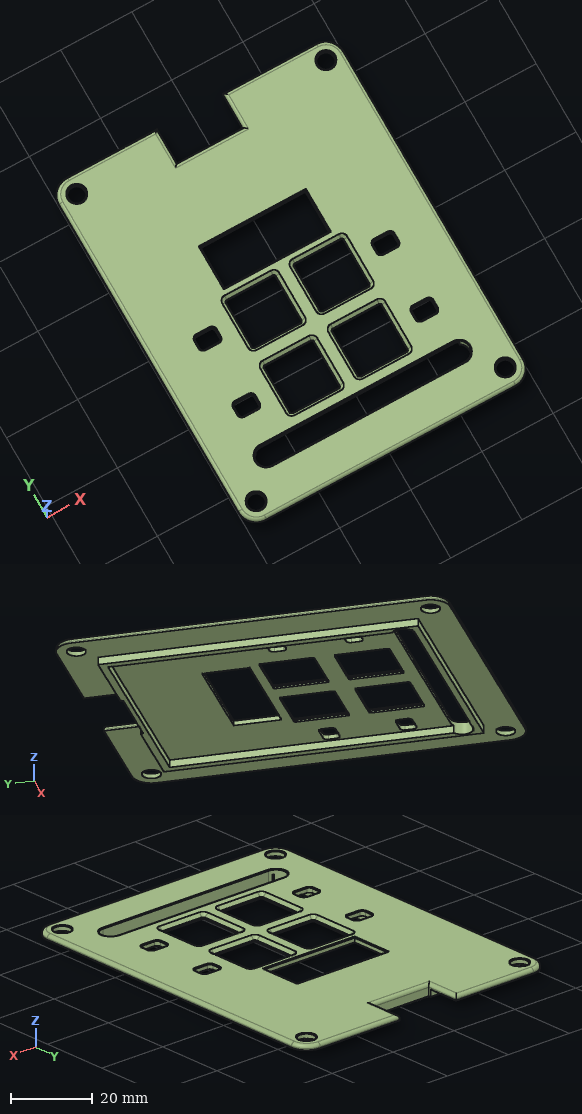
import cadquery as cq

plate_x = 80.0
plate_y = 100.0
plate_thickness = 1.5
corner_radius = 5.0
edge_fillet = 1.0

opening_chamfer = 0.25

rim_x = 61.3
rim_y = 81.3
rim_wall = 2.0
rim_height = 2.0

notch_width = 18.5
notch_depth = 10.0
display_offset_x = -0.4

window_x = 29.6
window_y = 12.1
window_center_y = 12.4

screw_hole_diameter = 4.7

key_opening = 14.0
key_pitch = 19.1
key_chamfer = 1.0
chamfer_angle = 45.0
key_corner_radius = 0.5
key_center_y = -12.9

side_opening_x = 5.8
side_opening_y = 4.2
side_corner_radius = 1.0
side_center_x = -0.1
side_spacing_x = 50.0
side_spacing_y = 19.5
side_center_y = -12.7

slot_length = 60.0
slot_width = 5.7
slot_center_y = -36.0

total_height = plate_thickness + rim_height


def grid_2x2(center_x, center_y, spacing_x, spacing_y):
    """Four corner points of a rectangle around (center_x, center_y)."""
    return [
        (center_x + x_side * spacing_x / 2, center_y + y_side * spacing_y / 2)
        for x_side in (-1, 1)
        for y_side in (-1, 1)
    ]


def block(size_x, size_y, height, top_z=0.0):
    """Box centred on the Z axis, hanging down from top_z."""
    return cq.Workplane("XY").box(size_x, size_y, height, centered=(True, True, False)).translate(
        (0, 0, top_z - height)
    )


def make_notch():
    """Cutter for the cable notch, through plate and rim."""
    center_y = plate_y / 2 - notch_depth / 2
    return block(notch_width, notch_depth, total_height).translate((display_offset_x, center_y, 0))


def make_plate():
    """Rounded plate with the notch cut in and its upper outline filleted."""
    plate = block(plate_x, plate_y, plate_thickness).edges("|Z").fillet(corner_radius)
    return plate.cut(make_notch()).faces(">Z").edges().fillet(edge_fillet)


def make_rim():
    """Rectangular frame under the plate, interrupted at the notch."""
    outer = block(rim_x, rim_y, rim_height, -plate_thickness)
    inner = block(rim_x - 2 * rim_wall, rim_y - 2 * rim_wall, rim_height, -plate_thickness)
    return outer.cut(inner).cut(make_notch())


def make_key_cutter():
    """Square opening with rounded corners that widens in a chamfer at the top."""
    mouth = key_opening + 2 * key_chamfer
    straight = block(key_opening, key_opening, plate_thickness).edges("|Z").fillet(key_corner_radius)
    mouth_outline = cq.Sketch().rect(mouth, mouth).vertices().fillet(key_corner_radius + key_chamfer)
    flare = cq.Workplane("XY").placeSketch(mouth_outline).extrude(-key_chamfer, taper=chamfer_angle)
    return straight.union(flare)


def make_side_cutter():
    """Small rounded rectangular opening."""
    return block(side_opening_x, side_opening_y, plate_thickness).edges("|Z").fillet(side_corner_radius)


def cut_at(body, cutter, points):
    """Cut a copy of the cutter at every point."""
    for x, y in points:
        body = body.cut(cutter.translate((x, y, 0)))
    return body


def make_slot():
    """Long round-ended slot through plate and rim."""
    return (
        cq.Workplane("XY")
        .center(0, slot_center_y)
        .slot2D(slot_length, slot_width)
        .extrude(-total_height)
    )


def make_screw_hole():
    """Round hole through the plate."""
    return cq.Workplane("XY").circle(screw_hole_diameter / 2).extrude(-plate_thickness)


def make_window():
    """Display window through the plate."""
    return block(window_x, window_y, plate_thickness).translate((display_offset_x, window_center_y, 0))


screw_points = grid_2x2(0, 0, plate_x - 2 * corner_radius, plate_y - 2 * corner_radius)
side_points = grid_2x2(side_center_x, side_center_y, side_spacing_x, side_spacing_y)
key_points = grid_2x2(0, key_center_y, key_pitch, key_pitch)

body = make_plate().union(make_rim())
body = body.cut(make_window()).cut(make_slot())
body = cut_at(body, make_side_cutter(), side_points)
body = cut_at(body, make_screw_hole(), screw_points)
top_loops = body.faces(">Z").val().innerWires()
opening_edges = [edge for loop in top_loops for edge in loop.Edges()]
body = body.newObject(opening_edges).chamfer(opening_chamfer)

result = cut_at(body, make_key_cutter(), key_points)